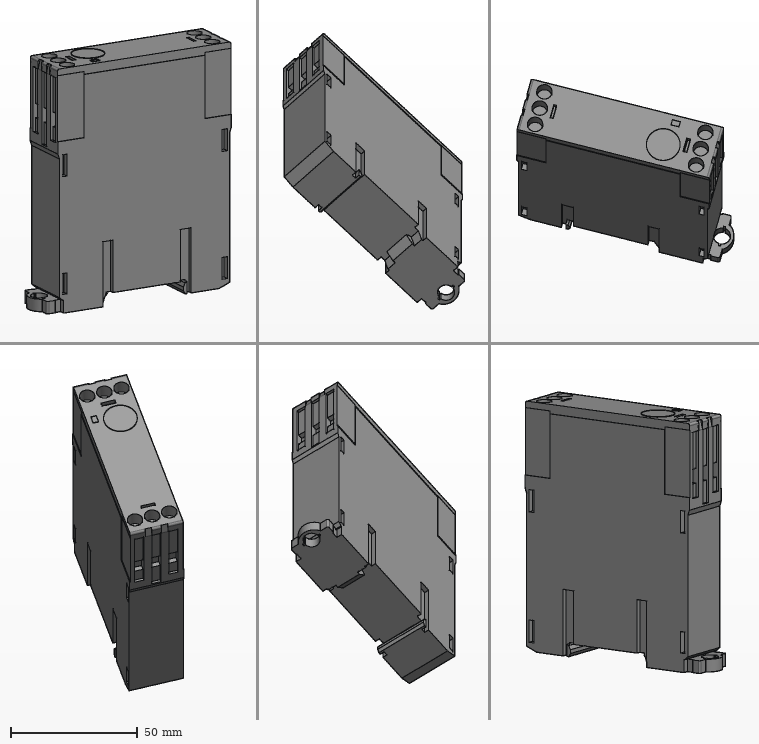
import cadquery as cq
import math

WIDTH = 22.5
DEPTH = 78.9
TOTAL_HEIGHT = 101.1
RAISED_HEIGHT = 0.25
TOP_Z = TOTAL_HEIGHT - RAISED_HEIGHT
MID_Y = DEPTH / 2
HALF_WIDTH = WIDTH / 2

TOP_FILLET = 0.9
WAIST_INSET = 0.7
WAIST_TOP_Z = 65.9
WAIST_BOTTOM_Z = 63.8
REAR_CHAMFER_Z = 1.9
REAR_CHAMFER_Y = 73.2
FOOT_Y = 2.6
FOOT_TOP_Y = 2.2
UNDERCUT_Z = 6.7
FOOT_HEIGHT = 5.3
RAIL_REAR_Y = 58.8
RAIL_FRONT_TOP_Y = 23.1
RAIL_FRONT_BOTTOM_Y = 21.2

REAR_HOOK_ROOT_Y = 57.8
REAR_HOOK_TIP_Y = 57.0
REAR_HOOK_TIP_Z = (1.4, 2.9)
REAR_HOOK_SHOULDER_Z = 4.6
REAR_HOOK_TOP_Z = 5.0
FRONT_HOOK_HEEL_Y = 22.5
FRONT_HOOK_TIP = (25.9, 3.3)
FRONT_HOOK_TOP_Y = 23.9

COVER_INSET = 0.25
COVER_BOTTOM_Z = 97.1
PAD_INSET = 0.3
PAD_LENGTH = 11.9
PAD_BOTTOM_Z = 71.0
PAD_TOP_Z = 98.2
CHANNEL_DEPTH = 1.9
CHANNEL_TOP_Z = 26.9
REAR_CHANNEL = (55.6, 60.6)
FRONT_CHANNEL = (20.5, 25.1)
SIDE_SLOT_DEPTH = 2.5
UPPER_SLOT_Z = (56.3, 65.3)
FRONT_LOWER_SLOT_Z = (7.8, 16.4)
REAR_LOWER_SLOT_Z = (3.6, 12.6)
FRONT_SLOT_Y = (2.2, 4.1)
REAR_SLOT_Y = (74.6, 77.0)

TERMINAL_PITCH = 7.1
SCREW_RADIUS = 3.0
SCREW_DEPTH = 6.1
SCREW_INSET = 6.5
WIRE_SLOT_WIDTH = 3.7
WIRE_SLOT_SHIFT = 0.2
WIRE_SLOT_TOP_Z = 97.0
WIRE_SLOT_DEPTH = 1.0
OUTER_SLOT_BOTTOM_Z = 70.2
MIDDLE_SLOT_BOTTOM_Z = 66.7
WIRE_ENTRY_Z = (75.7, 81.7)
WIRE_ENTRY_DEPTH = 3.0
NOTCH_WIDTH = 2.6
NOTCH_CENTRE_X = 3.3
NOTCH_BOTTOM_Z = 97.1

LABEL_SLOT_LENGTH = 5.7
LABEL_SLOT_WIDTH = 1.1
LABEL_SLOT_DEPTH = 2.0
LABEL_SLOT_INSET = 12.0
LEDGE_WIDTH = 0.4
LEDGE_DEPTH = 1.0
KNOB_RADIUS = 6.7
KNOB_CENTRE = (-2.2, 21.2)
LAMP_SIZE = (2.2, 3.2)
LAMP_CENTRE = (7.7, 18.8)

LATCH_HEIGHT = 5.2
LATCH_NECK_HALF_WIDTH = 8.8
LATCH_HALF_WIDTH = 9.2
LATCH_SHOULDER_Y = -3.7
LATCH_TIP_Y = -6.9
LATCH_NOSE_HALF_WIDTH = 5.4
LATCH_NOSE_STRAIGHT = 0.2
LATCH_CORNER_RADIUS = 0.8
LATCH_HOLE_Y = -2.2
LATCH_HOLE_RADIUS = 3.3
LATCH_SLIT_LENGTH = 8.3
LATCH_SLIT_WIDTH = 0.8


def block(x_range, y_range, z_range):
    """Axis-aligned box between the given limits."""
    size = [high - low for low, high in (x_range, y_range, z_range)]
    corner = (x_range[0], y_range[0], z_range[0])
    return cq.Workplane(cq.Solid.makeBox(*size, cq.Vector(*corner)))


def both_sides(y_range, z_range, depth):
    """A pair of boxes reaching the given depth into the left and right faces."""
    left = block((-HALF_WIDTH, depth - HALF_WIDTH), y_range, z_range)
    return left.union(left.mirror("YZ"))


def both_ends(shape):
    """The shape and its mirror image at the other end of the depth."""
    return shape.union(shape.mirror("XZ", (0, MID_Y, 0)))


def across(profile, half_width):
    """Extrude a closed Y-Z profile symmetrically across the width."""
    return profile.extrude(half_width, both=True)


def make_housing():
    bulge = TOP_FILLET * (1 - math.sqrt(0.5))
    rear_waist_y = DEPTH - WAIST_INSET
    profile = (
        cq.Workplane("YZ")
        .moveTo(FOOT_Y, 0)
        .lineTo(FOOT_Y, FOOT_HEIGHT)
        .lineTo(FOOT_TOP_Y, FOOT_HEIGHT)
        .lineTo(WAIST_INSET, UNDERCUT_Z)
        .lineTo(WAIST_INSET, WAIST_BOTTOM_Z)
        .lineTo(0, WAIST_TOP_Z)
        .lineTo(0, TOP_Z - TOP_FILLET)
        .threePointArc((bulge, TOP_Z - bulge), (TOP_FILLET, TOP_Z))
        .lineTo(DEPTH - TOP_FILLET, TOP_Z)
        .threePointArc((DEPTH - bulge, TOP_Z - bulge), (DEPTH, TOP_Z - TOP_FILLET))
        .lineTo(DEPTH, WAIST_TOP_Z)
        .lineTo(rear_waist_y, WAIST_BOTTOM_Z)
        .lineTo(rear_waist_y, REAR_CHAMFER_Z)
        .lineTo(REAR_CHAMFER_Y, 0)
        .lineTo(RAIL_REAR_Y, 0)
        .lineTo(RAIL_REAR_Y, FOOT_HEIGHT)
        .lineTo(RAIL_FRONT_TOP_Y, FOOT_HEIGHT)
        .lineTo(RAIL_FRONT_BOTTOM_Y, 0)
        .close()
    )
    return across(profile, HALF_WIDTH)


def cut_sides(body):
    body = body.cut(both_sides((0, DEPTH), (COVER_BOTTOM_Z, TOP_Z), COVER_INSET))
    body = body.cut(both_ends(both_sides((0, PAD_LENGTH), (PAD_BOTTOM_Z, PAD_TOP_Z), PAD_INSET)))
    for channel_y in (REAR_CHANNEL, FRONT_CHANNEL):
        body = body.cut(both_sides(channel_y, (0, CHANNEL_TOP_Z), CHANNEL_DEPTH))
    for slot_y, lower_z in ((FRONT_SLOT_Y, FRONT_LOWER_SLOT_Z), (REAR_SLOT_Y, REAR_LOWER_SLOT_Z)):
        for slot_z in (UPPER_SLOT_Z, lower_z):
            body = body.cut(both_sides(slot_y, slot_z, SIDE_SLOT_DEPTH))
    return body


def cut_terminals(body):
    """Screw holes, stepped wire slots and sloped notches at both ends."""
    for column in (-1, 0, 1):
        screw_x = column * TERMINAL_PITCH
        screw = (
            cq.Workplane("XY", origin=(screw_x, SCREW_INSET, TOP_Z))
            .circle(SCREW_RADIUS)
            .extrude(-SCREW_DEPTH)
        )
        slot_left = screw_x + WIRE_SLOT_SHIFT - WIRE_SLOT_WIDTH / 2
        slot_x = (slot_left, slot_left + WIRE_SLOT_WIDTH)
        slot_bottom = MIDDLE_SLOT_BOTTOM_Z if column == 0 else OUTER_SLOT_BOTTOM_Z
        slot = block(slot_x, (0, WIRE_SLOT_DEPTH), (slot_bottom, WIRE_SLOT_TOP_Z))
        entry = block(slot_x, (0, WIRE_ENTRY_DEPTH), WIRE_ENTRY_Z)
        body = body.cut(both_ends(screw)).cut(both_ends(slot.union(entry)))
    for side in (-1, 1):
        notch = (
            cq.Workplane("YZ", origin=(side * NOTCH_CENTRE_X, 0, 0))
            .moveTo(0, NOTCH_BOTTOM_Z)
            .lineTo(TOP_FILLET, TOP_Z)
            .lineTo(0, TOP_Z)
            .close()
        )
        body = body.cut(both_ends(across(notch, NOTCH_WIDTH / 2)))
    return body


def finish_top(body):
    """Label slots, the raised knob disc and the raised lamp window."""
    slot_x = (-LABEL_SLOT_LENGTH / 2, LABEL_SLOT_LENGTH / 2)
    slot_rear = LABEL_SLOT_INSET + LABEL_SLOT_WIDTH / 2
    slot = block(slot_x, (slot_rear - LABEL_SLOT_WIDTH, slot_rear), (TOP_Z - LABEL_SLOT_DEPTH, TOP_Z))
    ledge = block(slot_x, (slot_rear, slot_rear + LEDGE_WIDTH), (TOP_Z - LEDGE_DEPTH, TOP_Z))
    face = cq.Workplane("XY", origin=(0, 0, TOP_Z))
    knob = face.center(*KNOB_CENTRE).circle(KNOB_RADIUS).extrude(RAISED_HEIGHT)
    lamp = face.center(*LAMP_CENTRE).rect(*LAMP_SIZE).extrude(RAISED_HEIGHT)
    return body.cut(both_ends(slot)).cut(ledge).union(knob).union(lamp)


def make_rear_hook():
    """Bevelled lip across the full width that grips the rear edge of the rail."""
    profile = (
        cq.Workplane("YZ")
        .moveTo(RAIL_REAR_Y, 0)
        .lineTo(REAR_HOOK_ROOT_Y, 0)
        .lineTo(REAR_HOOK_TIP_Y, REAR_HOOK_TIP_Z[0])
        .lineTo(REAR_HOOK_TIP_Y, REAR_HOOK_TIP_Z[1])
        .lineTo(REAR_HOOK_ROOT_Y, REAR_HOOK_SHOULDER_Z)
        .lineTo(RAIL_REAR_Y, REAR_HOOK_TOP_Z)
        .close()
    )
    return across(profile, HALF_WIDTH)


def make_front_hook():
    """Pointed catch of the latch, as wide as the latch's nose."""
    profile = (
        cq.Workplane("YZ")
        .moveTo(RAIL_FRONT_BOTTOM_Y, 0)
        .lineTo(FRONT_HOOK_HEEL_Y, 0)
        .lineTo(*FRONT_HOOK_TIP)
        .lineTo(FRONT_HOOK_TOP_Y, FOOT_HEIGHT)
        .lineTo(RAIL_FRONT_TOP_Y, FOOT_HEIGHT)
        .close()
    )
    return across(profile, LATCH_NOSE_HALF_WIDTH)


def make_latch():
    """Pull tab at the foot, with a slit hole for a screwdriver."""
    tab = (
        cq.Workplane("XY")
        .moveTo(-LATCH_HALF_WIDTH, 0)
        .lineTo(-LATCH_HALF_WIDTH, LATCH_SHOULDER_Y)
        .lineTo(LATCH_HALF_WIDTH, LATCH_SHOULDER_Y)
        .lineTo(LATCH_HALF_WIDTH, 0)
        .close()
        .extrude(LATCH_HEIGHT)
        .edges("|Z")
        .edges("<Y")
        .fillet(LATCH_CORNER_RADIUS)
    )
    arc_start_y = LATCH_SHOULDER_Y - LATCH_NOSE_STRAIGHT
    nose = (
        cq.Workplane("XY")
        .moveTo(-LATCH_NOSE_HALF_WIDTH, LATCH_SHOULDER_Y)
        .lineTo(-LATCH_NOSE_HALF_WIDTH, arc_start_y)
        .threePointArc((0, LATCH_TIP_Y), (LATCH_NOSE_HALF_WIDTH, arc_start_y))
        .lineTo(LATCH_NOSE_HALF_WIDTH, LATCH_SHOULDER_Y)
        .close()
        .extrude(LATCH_HEIGHT)
    )
    neck = block((-LATCH_NECK_HALF_WIDTH, LATCH_NECK_HALF_WIDTH), (0, FOOT_Y), (0, LATCH_HEIGHT))
    hole_plane = cq.Workplane("XY", origin=(0, LATCH_HOLE_Y, 0))
    hole = hole_plane.circle(LATCH_HOLE_RADIUS).extrude(LATCH_HEIGHT)
    slit = hole_plane.rect(LATCH_SLIT_LENGTH, LATCH_SLIT_WIDTH).extrude(LATCH_HEIGHT)
    return tab.union(nose).union(neck).cut(hole).cut(slit)


housing = finish_top(cut_terminals(cut_sides(make_housing())))
result = housing.union(make_rear_hook()).union(make_front_hook()).union(make_latch())